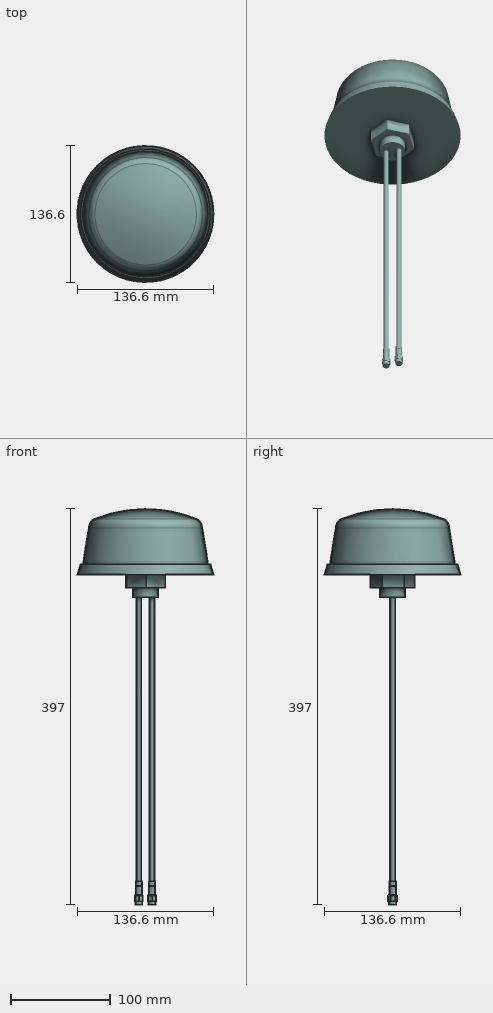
import cadquery as cq
import math

TOTAL_HEIGHT = 397.0
FLANGE_BOTTOM = 331.0
FLANGE_HEIGHT = 10.7
SHOULDER_BOTTOM = 378.0
CAP_EDGE = 387.0

FLANGE_BOTTOM_RADIUS = 68.3
FLANGE_TOP_RADIUS = 65.0
WALL_BOTTOM_RADIUS = 62.7
WALL_TOP_RADIUS = 56.7
CAP_RADIUS = 50.8
WALL_BULGE = 0.2
SHOULDER_BULGE = 1.5

STUD_RADIUS = 12.7
STUD_LENGTH = 22.5
NUT_HEIGHT = 13.0
NUT_ACROSS_CORNERS = 45.0

CABLE_RADIUS = 2.58
CABLE_SPACING = 13.0
CONNECTOR_HEIGHT = 24.0
SLEEVE_RADIUS = 3.25
GROOVE_RADIUS = 2.58
GROOVE_BOTTOM = 18.5
GROOVE_WIDTH = 0.5
COUPLING_RADIUS = 3.5
COUPLING_TOP = 10.5
HEX_BOTTOM = 3.5
HEX_HEIGHT = 5.5
HEX_ACROSS_CORNERS = 9.0

ASSEMBLY_TURN = 2.3

FLANGE_TOP = FLANGE_BOTTOM + FLANGE_HEIGHT
STUD_BOTTOM = FLANGE_BOTTOM - STUD_LENGTH


def bowed_midpoint(start, end, bulge):
    """Midpoint of a chord, pushed out to the right of start -> end by bulge."""
    run = end[0] - start[0]
    rise = end[1] - start[1]
    chord = math.hypot(run, rise)
    return (
        (start[0] + end[0]) / 2 + bulge * rise / chord,
        (start[1] + end[1]) / 2 - bulge * run / chord,
    )


def make_housing():
    """Revolved dome with a tapered flange around its foot."""
    wall_bottom = (WALL_BOTTOM_RADIUS, FLANGE_TOP)
    wall_top = (WALL_TOP_RADIUS, SHOULDER_BOTTOM)
    cap_edge = (CAP_RADIUS, CAP_EDGE)
    apex = (0, TOTAL_HEIGHT)

    cap_rise = TOTAL_HEIGHT - CAP_EDGE
    cap_sphere = (CAP_RADIUS**2 + cap_rise**2) / (2 * cap_rise)
    cap_mid_radius = CAP_RADIUS / 2
    cap_drop = cap_sphere - math.sqrt(cap_sphere**2 - cap_mid_radius**2)
    cap_mid = (cap_mid_radius, TOTAL_HEIGHT - cap_drop)

    return (
        cq.Workplane("XZ")
        .moveTo(0, FLANGE_BOTTOM)
        .lineTo(FLANGE_BOTTOM_RADIUS, FLANGE_BOTTOM)
        .lineTo(FLANGE_TOP_RADIUS, FLANGE_TOP)
        .lineTo(*wall_bottom)
        .threePointArc(bowed_midpoint(wall_bottom, wall_top, WALL_BULGE), wall_top)
        .threePointArc(bowed_midpoint(wall_top, cap_edge, SHOULDER_BULGE), cap_edge)
        .threePointArc(cap_mid, apex)
        .close()
        .revolve(360, (0, 0, 0), (0, 1, 0))
    )


def make_stud():
    """Round stud below the flange."""
    return cq.Workplane("XY").workplane(offset=STUD_BOTTOM).circle(STUD_RADIUS).extrude(STUD_LENGTH)


def hex_prism(bottom, height, across_corners):
    """Hexagonal prism on the Z axis with two corners on the Y axis."""
    return (
        cq.Workplane("XY")
        .workplane(offset=bottom)
        .transformed(rotate=(0, 0, 90))
        .polygon(6, across_corners)
        .extrude(height)
    )


def make_nut():
    """Hex nut around the stud, seated against the flange."""
    blank = hex_prism(FLANGE_BOTTOM - NUT_HEIGHT, NUT_HEIGHT, NUT_ACROSS_CORNERS)
    return blank.cut(make_stud())


def make_cable():
    """Cable running from the stud down to its connector."""
    return (
        cq.Workplane("XY")
        .workplane(offset=CONNECTOR_HEIGHT)
        .circle(CABLE_RADIUS)
        .extrude(STUD_BOTTOM - CONNECTOR_HEIGHT)
    )


def make_connector():
    """Slim grooved sleeve on a wider round coupling that carries a hex near its free end."""
    sleeve = cq.Workplane("XY").circle(SLEEVE_RADIUS).extrude(CONNECTOR_HEIGHT)
    groove = (
        cq.Workplane("XY")
        .workplane(offset=GROOVE_BOTTOM)
        .circle(SLEEVE_RADIUS)
        .circle(GROOVE_RADIUS)
        .extrude(GROOVE_WIDTH)
    )
    coupling = cq.Workplane("XY").circle(COUPLING_RADIUS).extrude(COUPLING_TOP)
    hexagon = hex_prism(HEX_BOTTOM, HEX_HEIGHT, HEX_ACROSS_CORNERS)
    return sleeve.cut(groove).union(coupling).union(hexagon)


def turned(body):
    """Body turned by the assembly angle about the Z axis."""
    return body.rotate((0, 0, 0), (0, 0, 1), ASSEMBLY_TURN)


housing = make_housing()
stud = make_stud()
nut = turned(make_nut())

cables = []
connectors = []
for side in (-1, 1):
    place = (side * CABLE_SPACING / 2, 0, 0)
    cables.append(turned(make_cable().translate(place)).val())
    connectors.append(turned(make_connector().translate(place)).val())

result = cq.Compound.makeCompound([housing.val(), stud.val(), nut.val(), *cables, *connectors])